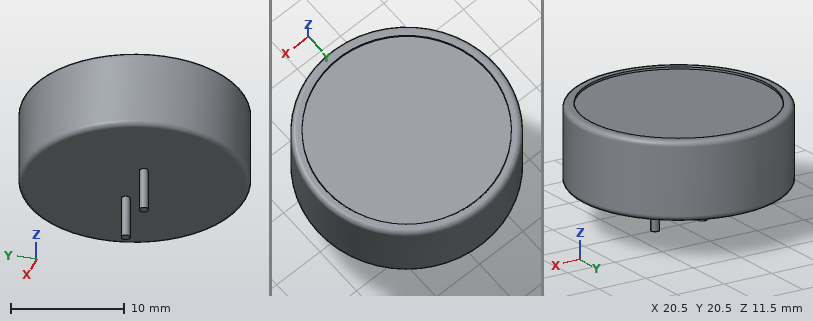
import cadquery as cq

housing_diameter = 20.5
housing_height = 7.5
rim_fillet = 0.5

disc_diameter = 18.5
disc_recess = 0.2
disc_thickness = 0.5
pocket_depth = disc_recess + disc_thickness

pin_diameter = 0.8
pin_length = 4.0
pin_spacing = 5.0


def make_housing():
    """Solid can standing on Z = 0 with a shallow round pocket for the disc."""
    can = (
        cq.Workplane("XY")
        .circle(housing_diameter / 2)
        .extrude(housing_height)
        .edges("%CIRCLE")
        .fillet(rim_fillet)
    )
    pocket = (
        cq.Workplane("XY", origin=(0, 0, housing_height - pocket_depth))
        .circle(disc_diameter / 2)
        .extrude(pocket_depth)
    )
    return can.cut(pocket)


def make_disc():
    """Flat disc resting on the floor of the housing pocket."""
    return (
        cq.Workplane("XY", origin=(0, 0, housing_height - pocket_depth))
        .circle(disc_diameter / 2)
        .extrude(disc_thickness)
    )


def make_pin(x):
    """Straight lead hanging from the underside of the housing at the given X."""
    return cq.Workplane("XY", origin=(x, 0, -pin_length)).circle(pin_diameter / 2).extrude(pin_length)


housing = make_housing()
disc = make_disc()
pins = [make_pin(side * pin_spacing / 2) for side in (-1, 1)]

result = cq.Compound.makeCompound([housing.val(), disc.val(), *[pin.val() for pin in pins]])